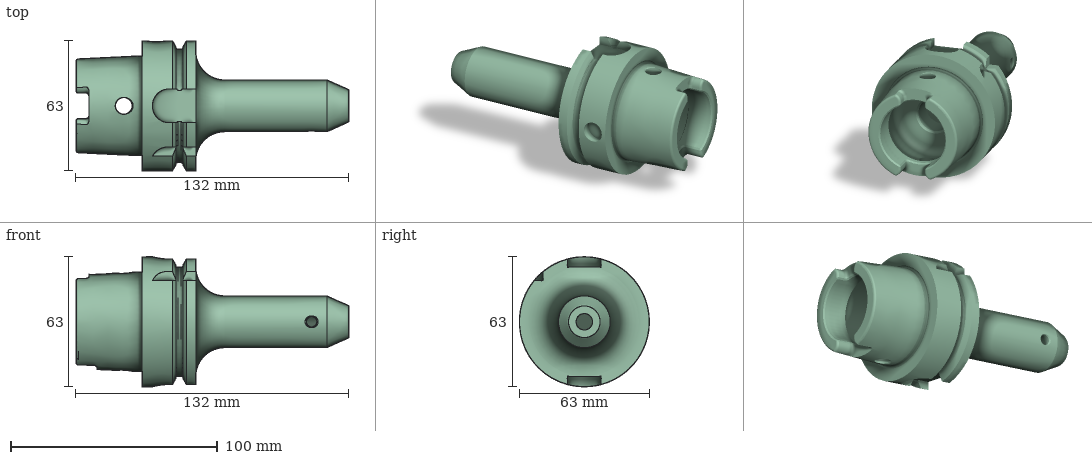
import cadquery as cq
import math

total_length = 132.0
face_x = 32.0
flange_width = 26.0
flange_end_x = face_x + flange_width
nose_start_x = 121.5
nose_edge_break = 0.8
root_blend_radius = 14.0

flange_diameter = 63.0
flange_radius = flange_diameter / 2
stem_radius = 12.5
nose_radius = 8.2
tip_radius = 7.7
shank_radius = 24.2
shank_tip_radius = 22.7
shank_edge_round = 1.2

relief_start_x = 30.0
relief_length = 0.8
relief_radius = 24.0
relief_round = 0.7
relief_dip = 0.4

groove_x = 50.0
groove_top_width = 6.7
groove_bottom_width = 3.4
groove_half_top = groove_top_width / 2
groove_half_bottom = groove_bottom_width / 2
groove_flank_radius = 28.6
groove_radius = 27.5
groove_fillet = 0.99

mouth_radius = 16.6
mouth_length = 13.2
mouth_chamfer = 0.7
chamber_radius = 19.8
chamber_end_x = 33.0
chamber_fillet = 4.0
undercut_angle = 60.0
tube_radius = 8.3
tube_chamfer = 0.9
tube_end_x = 44.9

notch_width = 12.3
notch_round = 3.7
notch_round_z = 17.4
notch_front_round = 1.2
notch_root_fillet = 1.5
notch_bottom_z = 10.5
notch_depth_top = 6.2
notch_depth_bottom = 10.0

cross_hole_x = 23.1
cross_hole_diameter = 8.0
cross_hole_chamfer = 0.3

slot_radius = 8.2
slot_end_x = 37.0
corner_slot_end_x = 36.2
slot_floor_z = 26.4
corner_offset = 19.9

chip_hole_x = 38.8
chip_hole_diameter = 10.0
chip_hole_depth = 4.6

bore_radius = 4.0
bore_depth = 39.6
screw_x = 114.0
screw_diameter = 5.0
screw_chamfer = 0.7

clearance = 1.3
margin = 0.1


def turned(profile):
    """Revolve an (x, radius) profile about the X axis."""
    return profile.close().revolve(360, (0, 0, 0), (1, 0, 0))


def outer_body():
    arc = root_blend_radius * math.sqrt(0.5)
    blend_end_x = flange_end_x + root_blend_radius
    blend_centre_radius = stem_radius + root_blend_radius
    relief_arc_x = face_x + relief_dip - relief_round
    relief_arc_radius = relief_radius + relief_round
    relief_rim_radius = relief_arc_radius + math.sqrt(relief_round**2 - (face_x - relief_arc_x) ** 2)
    profile = (
        cq.Workplane("XY")
        .lineTo(0, shank_tip_radius)
        .lineTo(relief_start_x, shank_radius)
        .lineTo(relief_start_x + relief_length, relief_radius)
        .lineTo(relief_arc_x, relief_radius)
        .threePointArc((relief_arc_x + relief_round, relief_arc_radius), (face_x, relief_rim_radius))
        .lineTo(face_x, flange_radius)
        .lineTo(flange_end_x, flange_radius)
        .lineTo(flange_end_x, blend_centre_radius)
        .threePointArc((blend_end_x - arc, blend_centre_radius - arc), (blend_end_x, stem_radius))
        .lineTo(nose_start_x, stem_radius)
        .lineTo(total_length - nose_edge_break, nose_radius)
        .lineTo(total_length, tip_radius)
        .lineTo(total_length, 0)
    )
    return turned(profile).faces("<X").edges().fillet(shank_edge_round)


def gripper_groove():
    outside = flange_radius + clearance
    ring = turned(
        cq.Workplane("XY")
        .moveTo(groove_x - groove_half_top, outside)
        .lineTo(groove_x - groove_half_top, flange_radius)
        .lineTo(groove_x - groove_half_bottom, groove_flank_radius)
        .lineTo(groove_x - groove_half_bottom, groove_radius)
        .lineTo(groove_x + groove_half_bottom, groove_radius)
        .lineTo(groove_x + groove_half_bottom, groove_flank_radius)
        .lineTo(groove_x + groove_half_top, flange_radius)
        .lineTo(groove_x + groove_half_top, outside)
    )
    inner = cq.selectors.RadiusNthSelector(0)
    return ring.edges("%CIRCLE").edges(inner).fillet(groove_fillet)


def drive_notch(depth):
    """Notch on the +Z side, open towards -X, with a rounded root and rounded front edges."""
    arc = notch_round * math.sqrt(0.5)
    half = notch_width / 2
    centre_y = half + notch_round
    wide = centre_y + 2 * clearance
    shoulder_z = notch_round_z + notch_round
    top_z = flange_radius
    notch = (
        cq.Workplane("YZ")
        .moveTo(-half, notch_bottom_z)
        .lineTo(half, notch_bottom_z)
        .lineTo(half, notch_round_z)
        .threePointArc((centre_y - arc, notch_round_z + arc), (centre_y, shoulder_z))
        .lineTo(wide, shoulder_z)
        .lineTo(wide, top_z)
        .lineTo(-wide, top_z)
        .lineTo(-wide, shoulder_z)
        .lineTo(-centre_y, shoulder_z)
        .threePointArc((-centre_y + arc, notch_round_z + arc), (-half, notch_round_z))
        .close()
        .extrude(depth)
    )
    block = cq.Workplane("XY", origin=(0, 0, notch_bottom_z)).box(
        depth + 2 * notch_root_fillet, 2 * wide, top_z - notch_bottom_z, centered=(False, True, False)
    )
    walls = block.cut(notch)
    for x, radius in ((0, notch_front_round), (depth, notch_root_fillet)):
        chain = cq.selectors.BoxSelector(
            (x - margin, -wide + margin, notch_bottom_z + margin),
            (x + margin, wide - margin, shoulder_z + margin),
        )
        walls = walls.edges(chain).fillet(radius)
    return block.cut(walls)


def shank_cavity():
    undercut = (chamber_radius - mouth_radius) / math.tan(math.radians(undercut_angle))
    arc = chamber_fillet * math.sqrt(0.5)
    fillet_x = chamber_end_x - chamber_fillet
    fillet_radius = chamber_radius - chamber_fillet
    profile = (
        cq.Workplane("XY")
        .moveTo(-clearance, 0)
        .lineTo(-clearance, mouth_radius)
        .lineTo(mouth_length, mouth_radius)
        .lineTo(mouth_length + undercut, chamber_radius)
        .lineTo(fillet_x, chamber_radius)
        .threePointArc((fillet_x + arc, fillet_radius + arc), (chamber_end_x, fillet_radius))
        .lineTo(chamber_end_x, tube_radius + tube_chamfer)
        .lineTo(chamber_end_x + tube_chamfer, tube_radius)
        .lineTo(tube_end_x, tube_radius)
        .lineTo(tube_end_x, 0)
    )
    return turned(profile)


def bevel_cavity_mouth(body):
    """Bevel the cavity mouth where it meets the end face and the notches."""
    reach = mouth_radius + margin
    around = cq.selectors.BoxSelector(
        (-margin, -reach, -reach), (notch_depth_bottom + margin, reach, reach), boundingbox=True
    )
    return body.edges(around).chamfer(mouth_chamfer)


def flange_slot(end_x, centre_y, floor_z):
    """Slot from the +X side of the flange, round end towards the face, floor facing +Z."""
    end_centre_x = end_x + slot_radius
    length = flange_end_x + clearance - end_centre_x
    height = flange_radius + clearance - floor_z
    straight = cq.Workplane("XY", origin=(end_centre_x, centre_y, floor_z)).box(
        length, 2 * slot_radius, height, centered=(False, True, False)
    )
    end = cq.Workplane("XY", origin=(end_centre_x, centre_y, floor_z)).circle(slot_radius).extrude(height)
    return straight.union(end)


def chamfered_hole(diameter, chamfer, surface_distance, depth):
    """Hole along -Z into a surface at the given distance from the axis, bevelled at its mouth."""
    radius = diameter / 2
    top = surface_distance + clearance
    hole = cq.Workplane("XY", origin=(0, 0, top)).circle(radius).extrude(-depth - clearance)
    bevel_height = chamfer + clearance
    bevel_base = cq.Vector(0, 0, surface_distance - chamfer)
    bevel = cq.Solid.makeCone(radius, radius + bevel_height, bevel_height, bevel_base)
    return hole.union(cq.Workplane(bevel))


body = outer_body().cut(gripper_groove()).cut(shank_cavity())

body = body.cut(drive_notch(notch_depth_top))
body = body.cut(drive_notch(notch_depth_bottom).rotate((0, 0, 0), (1, 0, 0), 180))
body = bevel_cavity_mouth(body)

taper = (shank_radius - shank_tip_radius) / relief_start_x
wall_radius = shank_tip_radius + taper * cross_hole_x
for angle in (0, 180):
    hole = chamfered_hole(cross_hole_diameter, cross_hole_chamfer, wall_radius, wall_radius)
    body = body.cut(hole.translate((cross_hole_x, 0, 0)).rotate((0, 0, 0), (1, 0, 0), angle))

main_slot = flange_slot(slot_end_x, 0, slot_floor_z)
body = body.cut(main_slot).cut(main_slot.rotate((0, 0, 0), (1, 0, 0), 180))
body = body.cut(flange_slot(corner_slot_end_x, -corner_offset - slot_radius, corner_offset))

chip_floor_y = flange_radius - chip_hole_depth
chip_hole = (
    cq.Workplane("XZ", origin=(chip_hole_x, chip_floor_y, 0))
    .circle(chip_hole_diameter / 2)
    .extrude(-chip_hole_depth - clearance)
)
body = body.cut(chip_hole)

tool_bore = cq.Workplane("YZ", origin=(total_length, 0, 0)).circle(bore_radius).extrude(-bore_depth)
screw_hole = chamfered_hole(screw_diameter, screw_chamfer, stem_radius, stem_radius)
screw_hole = screw_hole.rotate((0, 0, 0), (1, 0, 0), 90).translate((screw_x, 0, 0))
body = body.cut(tool_bore).cut(screw_hole)

result = body